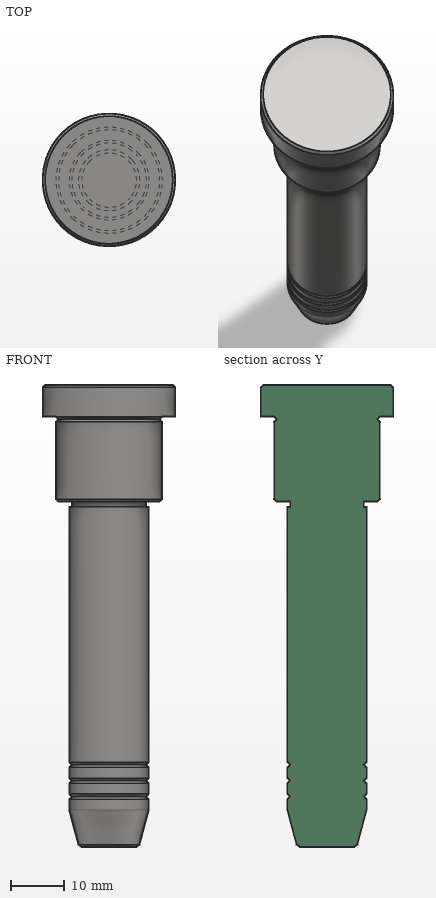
import cadquery as cq
import math

total_length = 87.0
edge_chamfer = 0.5

head_radius = 12.5
head_height = 6.0

collar_radius = 10.0
collar_end_depth = 22.0

groove_width = 1.0
groove_depth = 0.5

shank_radius = 7.5
first_groove_top = 71.0
groove_pitch = 3.0
groove_count = 3

tip_taper_depth = 80.0
tip_taper_angle = 15.0

taper_length = total_length - tip_taper_depth
tip_radius = shank_radius - taper_length * math.tan(math.radians(tip_taper_angle))


def cylinder(radius, top_depth, bottom_depth):
    """Solid cylinder on the pin axis between two depths below the head's top face."""
    return cq.Workplane("XY").workplane(offset=-bottom_depth).circle(radius).extrude(bottom_depth - top_depth)


def groove_ring(outer_radius, top_depth):
    """Ring with a V section that cuts one groove into a cylinder of the given radius."""
    return (
        cq.Workplane("XZ")
        .moveTo(outer_radius, -top_depth)
        .lineTo(outer_radius - groove_depth, -top_depth - groove_width / 2)
        .lineTo(outer_radius, -top_depth - groove_width)
        .close()
        .revolve(360, (0, 0, 0), (0, 1, 0))
    )


def make_head():
    return cylinder(head_radius, 0, head_height).faces(">Z").chamfer(edge_chamfer)


def make_collar():
    """Collar with a chamfered lower edge and a V groove directly under the head."""
    collar = cylinder(collar_radius, head_height, collar_end_depth).faces("<Z").chamfer(edge_chamfer)
    return collar.cut(groove_ring(collar_radius, head_height))


def make_shank():
    """Shank with a square relief under the collar, V grooves and a tapered, chamfered tip."""
    relief_end = collar_end_depth + groove_width
    relief = cylinder(shank_radius - groove_depth, collar_end_depth, relief_end)
    shank = cylinder(shank_radius, relief_end, tip_taper_depth)
    tip = (
        cq.Workplane("XZ")
        .moveTo(0, -tip_taper_depth)
        .lineTo(shank_radius, -tip_taper_depth)
        .lineTo(tip_radius, -total_length)
        .lineTo(0, -total_length)
        .close()
        .revolve(360, (0, 0, 0), (0, 1, 0))
        .faces("<Z")
        .chamfer(edge_chamfer)
    )
    shank = relief.union(shank).union(tip)
    for index in range(groove_count):
        shank = shank.cut(groove_ring(shank_radius, first_groove_top + index * groove_pitch))
    return shank


result = make_head().union(make_collar()).union(make_shank())